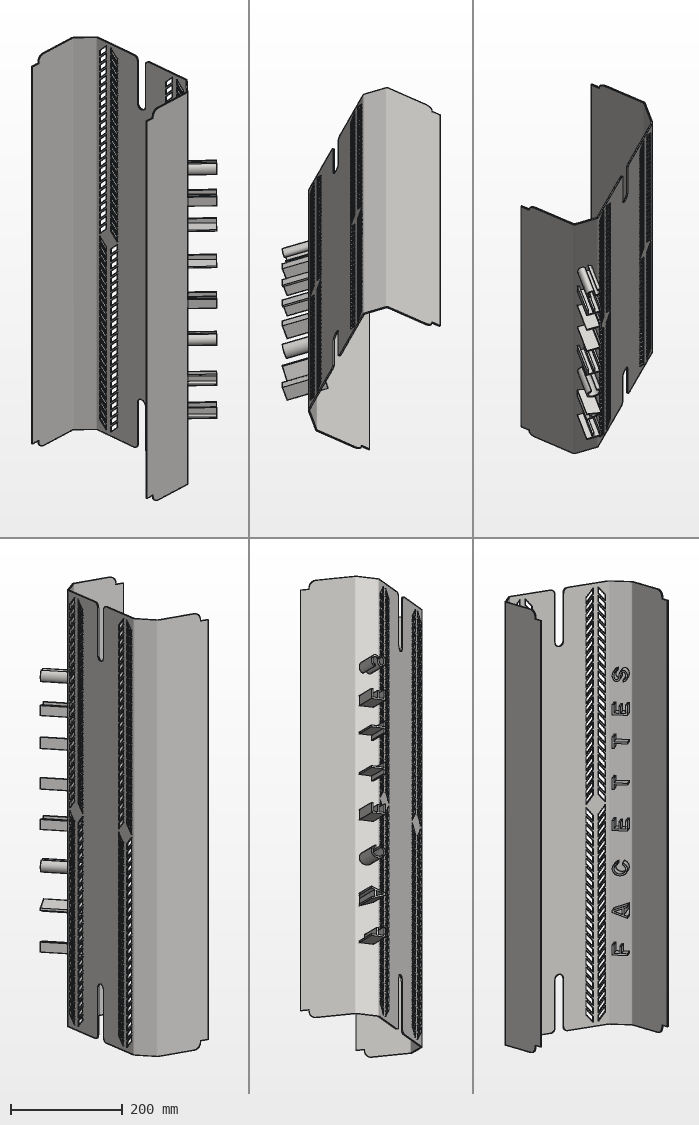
import cadquery as cq
import math

height = 813.0
width = 285.0
depth = 138.0
sheet = 2.5
bevel = 32.0
bend_inner = 3.0
half_width = width / 2
half_height = height / 2

end_slot_width = 19.5
end_slot_depth = 106.0
end_slot_lip = 9.0

notch_depth = 16.0
notch_height = 15.5
wall_corner = 13.0

group_offset = 81.0
column_inner = 6.0
column_outer = 21.55
vent_count = 25
vent_pitch = 15.4
vent_height = 10.5
vent_start = 2.85
vent_rise = column_outer - column_inner

letter_height = 28.0
letter_length = 77.0
stroke = 3.0
letter_tip_x = 175.0
letter_tip_y = 167.5
e_width = 19.0
f_width = 19.0
t_width = 21.0
a_width = 23.5
c_width = 24.0
s_width = 21.0
e_arm_gap = 2.5
f_arm_gap = 2.5
f_arm_level = 10.5
a_apex = 4.0
a_bar_level = 6.5
round_opening = 5.0


def box(x0, x1, y0, y1, z0, z1):
    return cq.Workplane("XY").box(x1 - x0, y1 - y0, z1 - z0, centered=False).translate((x0, y0, z0))



def tray_shell():
    """Bent sheet: outer outline minus the same outline set in by the sheet thickness."""
    def prism(inset, radius):
        side = half_width - inset
        back = depth - inset
        leg = bevel - inset * (2 - math.sqrt(2))
        outline = [
            (-side, 0),
            (-side, back - leg),
            (-side + leg, back),
            (side - leg, back),
            (side, back - leg),
            (side, 0),
        ]
        solid = cq.Workplane("XY").polyline(outline).close().extrude(height)
        bends = solid.edges("|Z").edges("not <Y")
        return bends.fillet(radius).translate((0, 0, -half_height))

    return prism(0, bend_inner + sheet).cut(prism(sheet, bend_inner))


def end_slot():
    """Cutter for the slot that is open at the top end, with rounded lips."""
    half_slot = end_slot_width / 2
    lip_x = half_slot + end_slot_lip
    lip_z = half_height - end_slot_lip
    floor_z = half_height - end_slot_depth
    lip_mid_x = lip_x - end_slot_lip * math.sqrt(0.5)
    lip_mid_z = lip_z + end_slot_lip * math.sqrt(0.5)
    return (
        cq.Workplane("XZ", origin=(0, depth, 0))
        .moveTo(-lip_x, half_height)
        .threePointArc((-lip_mid_x, lip_mid_z), (-half_slot, lip_z))
        .lineTo(-half_slot, floor_z + half_slot)
        .threePointArc((0, floor_z), (half_slot, floor_z + half_slot))
        .lineTo(half_slot, lip_z)
        .threePointArc((lip_mid_x, lip_mid_z), (lip_x, half_height))
        .close()
        .extrude(sheet)
    )


def wall_notch():
    """Cutter for the top end of both side walls: edge notch plus rounded corner."""
    arc_y = notch_depth + wall_corner
    arc_z = half_height - wall_corner
    arc_mid = wall_corner * math.sqrt(0.5)
    return (
        cq.Workplane("YZ", origin=(-half_width, 0, 0))
        .moveTo(0, half_height)
        .lineTo(arc_y, half_height)
        .threePointArc((arc_y - arc_mid, arc_z + arc_mid), (notch_depth, arc_z))
        .lineTo(notch_depth, half_height - notch_height)
        .lineTo(0, half_height - notch_height)
        .close()
        .extrude(width)
    )


def vents():
    """Cutter for all the slanted slots in the upper half of the back panel."""
    slots = cq.Workplane("XZ", origin=(0, depth, 0))
    for group_x in (-group_offset, group_offset):
        for side in (-1, 1):
            inner_x = group_x + side * column_inner
            outer_x = group_x + side * column_outer
            for row in range(vent_count):
                low = vent_start + row * vent_pitch
                slots = slots.polyline([
                    (outer_x, low),
                    (inner_x, low + vent_rise),
                    (inner_x, low + vent_rise + vent_height),
                    (outer_x, low + vent_height),
                ]).close()
    return slots.extrude(sheet)



def bar(x0, x1, y0, y1):
    return box(x0, x1, y0, y1, 0, letter_length)


def arms(letter_width, levels_and_gaps):
    """Stem on the left with one arm for each (underside level, gap at the tip)."""
    left = -letter_width / 2
    letter = bar(left, left + stroke, 0, letter_height)
    for level, gap in levels_and_gaps:
        letter = letter.union(bar(left, letter_width / 2 - gap, level, level + stroke))
    return letter


def letter_e():
    middle = (letter_height - stroke) / 2
    return arms(e_width, [(0, 0), (middle, e_arm_gap), (letter_height - stroke, 0)])


def letter_f():
    return arms(f_width, [(f_arm_level, f_arm_gap), (letter_height - stroke, 0)])


def letter_t():
    stem = bar(-stroke / 2, stroke / 2, 0, letter_height)
    return stem.union(bar(-t_width / 2, t_width / 2, letter_height - stroke, letter_height))


def a_envelope():
    """Outer outline of the A without its two openings."""
    return (
        cq.Workplane("XY")
        .polyline([
            (-a_width / 2, 0),
            (-a_apex / 2, letter_height),
            (a_apex / 2, letter_height),
            (a_width / 2, 0),
        ])
        .close()
        .extrude(letter_length)
    )


def letter_a():
    slope = (a_width - a_apex) / 2 / letter_height
    leg = stroke * math.hypot(1, slope)
    inside_half = a_width / 2 - leg
    inside_top = inside_half / slope
    inside = (
        cq.Workplane("XY")
        .polyline([(-inside_half, 0), (0, inside_top), (inside_half, 0)])
        .close()
        .extrude(letter_length)
    )
    crossbar = bar(-a_width / 2, a_width / 2, a_bar_level, a_bar_level + stroke)
    return a_envelope().cut(inside.cut(crossbar))


def oval_ring(radius_x, radius_y):
    """Oval stroke of constant width; the radii are those of its outer edge."""
    return (
        cq.Workplane("XY")
        .ellipse(radius_x, radius_y)
        .ellipse(radius_x - stroke, radius_y - stroke)
        .extrude(letter_length)
    )


def letter_c():
    radius_y = letter_height / 2
    mouth = bar(0, c_width, -round_opening, round_opening)
    return oval_ring(c_width / 2, radius_y).cut(mouth).translate((0, radius_y, 0))


def letter_s():
    """Two half-turned bowls that share the stroke in the middle."""
    bowl_y = (letter_height + stroke) / 4
    upper = (
        oval_ring(s_width / 2, bowl_y)
        .cut(bar(0, s_width, -letter_height, 0))
        .translate((0, bowl_y - stroke / 2, 0))
    )
    lower = upper.rotate((0, 0, 0), (0, 0, 1), 180)
    return upper.union(lower).translate((0, letter_height / 2, 0))


lettering = [
    (letter_f, -265.0),
    (letter_a, -194.0),
    (letter_c, -116.0),
    (letter_e, -37.0),
    (letter_t, 40.0),
    (letter_t, 115.5),
    (letter_e, 176.0),
    (letter_s, 238.0),
]


def on_bevel(shape, level):
    """Move a letter to the bevel face, its foot towards +X and its far end outside the tray."""
    foot = cq.Plane(
        origin=(letter_tip_x, letter_tip_y - letter_height * math.sqrt(0.5), level),
        xDir=(0, 0, 1),
        normal=(-1, -1, 0),
    )
    return cq.Workplane(obj=shape.val().moved(cq.Location(foot)))


letters = []
tray = tray_shell()
for cutter in (end_slot(), wall_notch(), vents()):
    tray = tray.cut(cutter).cut(cutter.mirror("XY"))

for make_letter, middle in lettering:
    letter = on_bevel(make_letter(), middle)
    letters.append(letter.val())
    opening = on_bevel(a_envelope(), middle) if make_letter is letter_a else letter
    tray = tray.cut(opening)

result = cq.Compound.makeCompound([*tray.vals(), *letters])